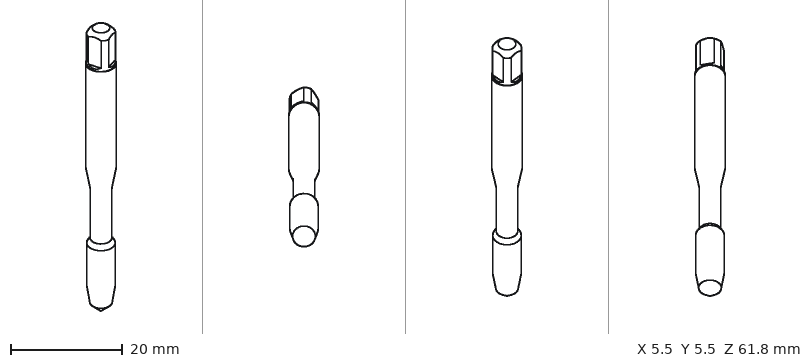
import cadquery as cq

total_length = 61.8

cutting_diameter = 5.1
point_radius = 2.05
point_height = point_radius
lead_top = 5.55
cutting_shoulder = 14.95
cutting_top = 16.0

neck_diameter = 3.9
neck_top = 26.75
shank_diameter = 5.5
shank_bottom = 31.4
shank_top = 54.1
drive_diameter = 5.25
drive_chamfer = 1.05

across_flats = 4.6
flat_bottom = 54.8
runout_angle = 45.0

cutting_radius = cutting_diameter / 2
neck_radius = neck_diameter / 2
shank_radius = shank_diameter / 2
drive_radius = drive_diameter / 2


def revolve_profile(points):
    """Revolve a closed outline of (radius, height) points about the Z axis."""
    return cq.Workplane("XZ").polyline(points).close().revolve(360, (0, 0), (0, 1))


def make_cutting_section():
    return revolve_profile([
        (0, 0),
        (point_radius, point_height),
        (cutting_radius, lead_top),
        (cutting_radius, cutting_shoulder),
        (neck_radius, cutting_top),
        (0, cutting_top),
    ])


def make_square_envelope():
    """Square prism widening downwards along the sloped runouts of the flats."""
    runout_height = shank_radius - across_flats / 2
    prism = (
        cq.Workplane("XY").workplane(offset=flat_bottom)
        .rect(across_flats, across_flats)
        .extrude(total_length - flat_bottom)
    )
    runout = (
        cq.Workplane("XY").workplane(offset=flat_bottom)
        .rect(across_flats, across_flats)
        .extrude(-runout_height, taper=-runout_angle)
    )
    base_height = flat_bottom - runout_height
    base = cq.Workplane("XY").rect(shank_diameter, shank_diameter).extrude(base_height)
    return prism.union(runout).union(base)


def make_shank():
    turned = revolve_profile([
        (0, cutting_top),
        (neck_radius, cutting_top),
        (neck_radius, neck_top),
        (shank_radius, shank_bottom),
        (shank_radius, shank_top),
        (drive_radius, shank_top),
        (drive_radius, total_length - drive_chamfer),
        (drive_radius - drive_chamfer, total_length),
        (0, total_length),
    ])
    return turned.intersect(make_square_envelope())


cutting_section = make_cutting_section()
shank = make_shank()

result = cq.Compound.makeCompound([cutting_section.val(), *shank.solids().vals()])